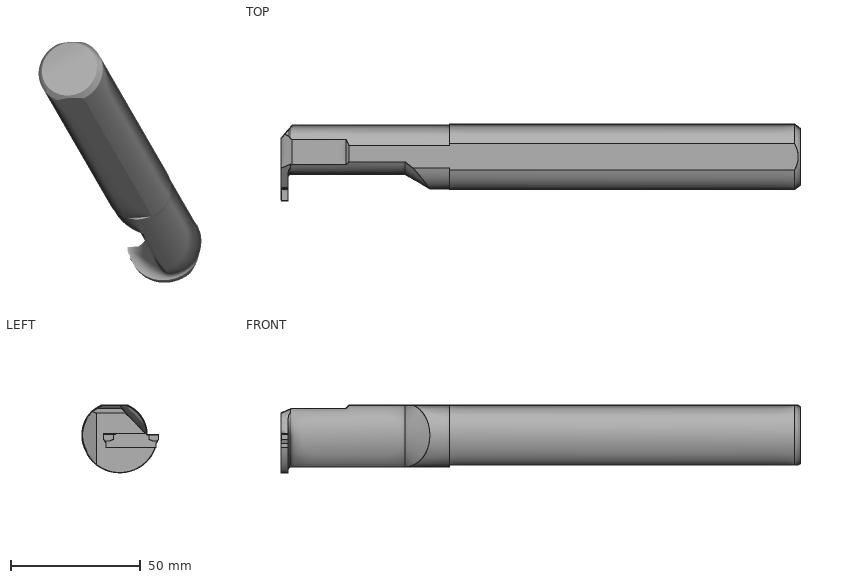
import cadquery as cq
import math

total_length = 200.0
shank_diameter = 25.2
shank_radius = shank_diameter / 2
shank_start = 64.8
flat_width = 23.0
flat_height = flat_width / 2
end_chamfer_length = 2.4
end_chamfer_radial = 1.8

neck_diameter = 24.5
neck_radius = neck_diameter / 2
relief_radius = 16.0
relief_edge_y = -6.8
relief_center_y = relief_edge_y + relief_radius
relief_end = 47.8
relief_runout = 11.0
relief_angle = 30.0

blade_thickness = 2.8
blade_diameter = 29.0
blade_radius = blade_diameter / 2
blade_center_y = -2.0
blade_fillet = 1.0
head_drop = 1.2
head_top = flat_height - head_drop
head_flat_end = 25.0
head_flat_ramp = 1.2
nose_bevel_drop = 1.8
nose_top = head_top - nose_bevel_drop
nose_bevel_length = 4.2
side_bevel_y = 7.0
side_bevel_length = 4.5
side_bevel_depth = 5.4
corner_top_y = -4.4
corner_bottom_y = -11.8

insert_center_y = -6.4
insert_half_length = 10.5
insert_top = 0.7
insert_bottom = -4.8
tip_top = 0.15
tip_length = 4.4
tip_step_run = 0.4
tip_face_bottom = -1.5
tip_back_rake = 1.0
tip_back_z = -3.2
relief_depth = 0.2
tip_relief_bottom = -2.2
tip_relief_length = 3.8
tip_relief_slant = 1.4

margin = 20.0
trim_length = 2 * (total_length + margin)
trim_width = shank_diameter + 2 * margin


def cylinder_x(radius, start, end, center_y=0.0):
    """Cylinder along X between two stations."""
    return cq.Workplane("YZ", origin=(start, center_y, 0)).circle(radius).extrude(end - start)


def prism_x(points, start, end):
    """Prism along X from a (Y, Z) outline."""
    return cq.Workplane("YZ", origin=(start, 0, 0)).polyline(points).close().extrude(end - start)


def make_shank():
    end_cone_start = total_length - end_chamfer_length
    profile = [
        (shank_start, 0),
        (shank_start, shank_radius),
        (end_cone_start, shank_radius),
        (total_length, shank_radius - end_chamfer_radial),
        (total_length, 0),
    ]
    bar = cq.Workplane("XY").polyline(profile).close().revolve(360, (0, 0, 0), (1, 0, 0))
    flats = cq.Workplane("XY").box(trim_length, trim_width, flat_width)
    return bar.intersect(flats)


def make_neck():
    """Round neck whose -Y relief runs out along a cone."""
    end_radius = relief_radius + relief_runout * math.tan(math.radians(relief_angle))
    profile = [
        (0, relief_center_y),
        (0, relief_edge_y),
        (relief_end, relief_edge_y),
        (relief_end + relief_runout, relief_center_y - end_radius),
        (shank_start, relief_center_y - end_radius),
        (shank_start, relief_center_y),
    ]
    envelope = (
        cq.Workplane("XY").polyline(profile).close()
        .revolve(360, (0, relief_center_y, 0), (1, relief_center_y, 0))
    )
    return cylinder_x(neck_radius, 0, shank_start).intersect(envelope)


def make_root():
    """Concave fillet rings where the blade meets the neck: a flared copy of the neck section."""
    root_end = blade_thickness + blade_fillet

    def flare(radius, center_y):
        outer = radius + blade_fillet
        arc_offset = blade_fillet * (1 - math.sqrt(0.5))
        return (
            cq.Workplane("XY")
            .moveTo(0, center_y)
            .lineTo(0, center_y + outer)
            .lineTo(blade_thickness, center_y + outer)
            .threePointArc(
                (blade_thickness + arc_offset, center_y + radius + arc_offset),
                (root_end, center_y + radius),
            )
            .lineTo(root_end, center_y)
            .close()
            .revolve(360, (0, center_y, 0), (1, center_y, 0))
        )

    root = flare(neck_radius, 0).intersect(flare(relief_radius, relief_center_y))
    return root.intersect(cylinder_x(blade_radius, 0, root_end, blade_center_y))


def head_top_cutter():
    """Lowered flat on top of the head, its end ramp and the nose bevel."""
    ramp_slope = head_flat_ramp / head_drop
    above = flat_height + margin
    profile = [
        (0, nose_top),
        (nose_bevel_length, head_top),
        (head_flat_end, head_top),
        (head_flat_end + ramp_slope * (above - head_top), above),
        (0, above),
    ]
    return cq.Workplane("XZ").polyline(profile).close().extrude(margin, both=True)


def side_bevel_cutter():
    profile = [
        (0, side_bevel_y),
        (2 * side_bevel_length, side_bevel_y + 2 * side_bevel_depth),
        (0, side_bevel_y + 2 * side_bevel_depth),
    ]
    return cq.Workplane("XY").polyline(profile).close().extrude(margin, both=True)


def corner_cutter():
    """Sloping upper corner of the blade, down to the insert's top."""
    slope = (corner_top_y - corner_bottom_y) / (nose_top - insert_top)
    upper_y = corner_top_y + slope * (head_top - nose_top)
    points = [
        (upper_y, head_top),
        (corner_bottom_y, insert_top),
        (-margin, insert_top),
        (-margin, head_top),
    ]
    return prism_x(points, 0, blade_thickness + blade_fillet)


def back_quarter_cutter():
    """Trims the blade to the shank's circle in its upper +Y quarter."""
    root_end = blade_thickness + blade_fillet
    quarter = prism_x([(0, 0), (margin, 0), (margin, margin), (0, margin)], 0, root_end)
    return quarter.cut(cylinder_x(shank_radius, 0, root_end))


def make_insert_blank():
    """Insert bar with a stepped-down, backed-off tip at each end."""
    half_outline = [
        (insert_half_length - tip_length - tip_step_run, insert_top),
        (insert_half_length - tip_length, tip_top),
        (insert_half_length, tip_top),
        (insert_half_length, tip_face_bottom),
        (insert_half_length - tip_back_rake, tip_back_z),
        (insert_half_length - tip_back_rake, insert_bottom),
    ]
    inner_half = [(insert_center_y + y, z) for y, z in half_outline]
    outer_half = [(insert_center_y - y, z) for y, z in reversed(half_outline)]
    return prism_x(inner_half + outer_half, 0, blade_thickness)


def tip_relief_cutter(direction):
    """Shallow side relief on the front face of one tip; direction is +1 or -1 along Y."""
    tip_y = insert_center_y + direction * insert_half_length
    root_y = tip_y - direction * tip_relief_length
    points = [
        (tip_y, tip_top),
        (root_y, tip_top),
        (root_y, tip_face_bottom),
        (root_y + direction * tip_relief_slant, tip_relief_bottom),
        (tip_y, tip_relief_bottom),
    ]
    return prism_x(points, 0, relief_depth)


def make_insert():
    insert = make_insert_blank()
    for direction in (-1, 1):
        insert = insert.cut(tip_relief_cutter(direction))
    return insert


def make_holder():
    blade = cylinder_x(blade_radius, 0, blade_thickness, blade_center_y)
    head = make_neck().union(blade).union(make_root()).cut(back_quarter_cutter())
    top_trim = cq.Workplane("XY", origin=(0, 0, flat_height)).rect(
        trim_length, trim_width
    ).extrude(margin)
    head = head.cut(top_trim).cut(head_top_cutter())
    head = head.cut(side_bevel_cutter()).cut(corner_cutter())

    seat_end_y = insert_center_y + insert_half_length
    tip_clearance = prism_x(
        [
            (-margin, insert_bottom),
            (insert_center_y, insert_bottom),
            (insert_center_y, tip_face_bottom),
            (seat_end_y, tip_face_bottom),
            (seat_end_y, insert_top),
            (-margin, insert_top),
        ],
        0,
        blade_thickness,
    )
    head = head.cut(make_insert_blank()).cut(tip_clearance)
    return head.union(make_shank())


holder = make_holder()
insert = make_insert()

result = cq.Compound.makeCompound([holder.val(), insert.val()])